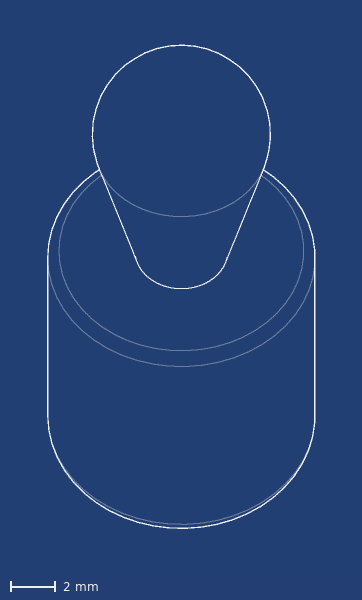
import cadquery as cq
import math

body_diameter = 12.0
body_height = 13.73
top_edge_radius = 0.5
bottom_edge_radius = 1.0

total_height = 26.77
ball_diameter = 8.0
cone_half_angle = math.radians(12.6)


def make_body():
    """Cylinder with its base on Z = 0 and both rims rounded."""
    body = cq.Workplane("XY").circle(body_diameter / 2).extrude(body_height)
    body = body.faces(">Z").edges().fillet(top_edge_radius)
    return body.faces("<Z").edges().fillet(bottom_edge_radius)


def make_pin():
    """Revolved pin that widens from the body top into a spherical end."""
    ball_radius = ball_diameter / 2
    ball_center_z = total_height - ball_radius
    tangent_radius = ball_radius * math.cos(cone_half_angle)
    tangent_z = ball_center_z - ball_radius * math.sin(cone_half_angle)
    neck_radius = tangent_radius - (tangent_z - body_height) * math.tan(cone_half_angle)

    return (
        cq.Workplane("XZ")
        .moveTo(0, body_height)
        .lineTo(neck_radius, body_height)
        .lineTo(tangent_radius, tangent_z)
        .threePointArc((ball_radius, ball_center_z), (0, total_height))
        .close()
        .revolve(360, (0, 0, 0), (0, 1, 0))
    )


result = make_body().union(make_pin())